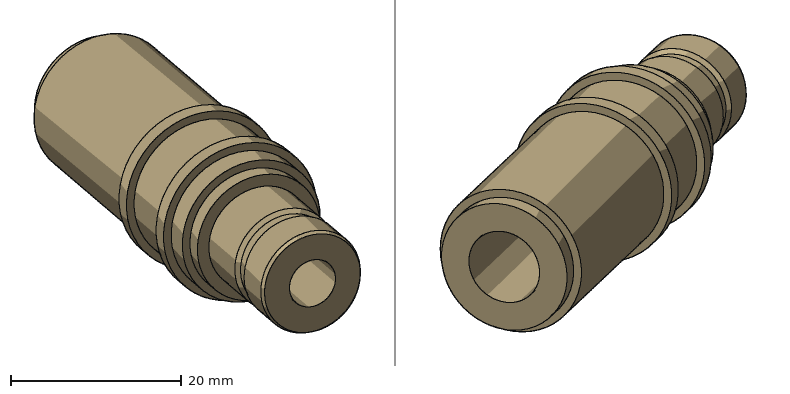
import cadquery as cq


body_length = 44.0
body_dia = 18.0
end_step_dia = 16.0
end_step_length = 2.0

collar_dia = 20.0
collar_width = 2.0
collar_starts = (27.0, 37.0)

overall_length = 58.5
spigot_dia = 13.0
tip_chamfer_length = 0.5
tip_chamfer_depth = 0.25

groove_start = 51.0
groove_top_width = 2.5
groove_depth = 0.5
groove_flank_length = 0.5

socket_dia = 9.0
socket_depth = body_length / 2
passage_dia = 6.0


def cylinder(start, length, diameter):
    """Solid cylinder on the X axis, from x = start to x = start + length."""
    return cq.Workplane("YZ", origin=(start, 0, 0)).circle(diameter / 2).extrude(length)


def make_body():
    """Stepped body with its two collars."""
    body = cylinder(0, body_length, end_step_dia)
    barrel_length = body_length - 2 * end_step_length
    body = body.union(cylinder(end_step_length, barrel_length, body_dia))
    for start in collar_starts:
        body = body.union(cylinder(start, collar_width, collar_dia))
    return body


def make_spigot():
    """Spigot with its ring groove and chamfered tip, revolved from half a section."""
    radius = spigot_dia / 2
    groove_radius = radius - groove_depth
    groove_end = groove_start + groove_top_width
    half_section = (
        cq.Workplane("XZ")
        .moveTo(body_length, 0)
        .lineTo(body_length, radius)
        .lineTo(groove_start, radius)
        .lineTo(groove_start + groove_flank_length, groove_radius)
        .lineTo(groove_end - groove_flank_length, groove_radius)
        .lineTo(groove_end, radius)
        .lineTo(overall_length - tip_chamfer_length, radius)
        .lineTo(overall_length, radius - tip_chamfer_depth)
        .lineTo(overall_length, 0)
        .close()
    )
    return half_section.revolve(360, (0, 0, 0), (1, 0, 0))


def make_bore():
    """Volume of the socket and the passage."""
    return cylinder(0, overall_length, passage_dia).union(cylinder(0, socket_depth, socket_dia))


result = make_body().union(make_spigot()).cut(make_bore())